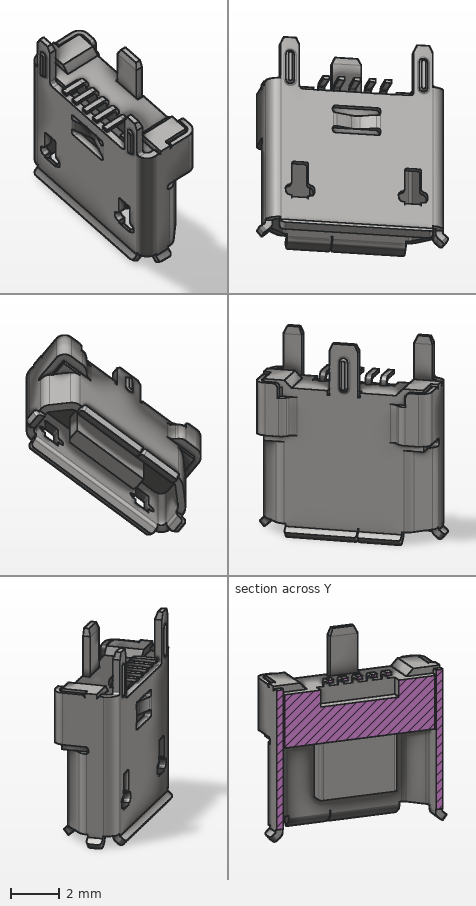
import cadquery as cq
import math


SHEET = 0.31
HALF_WIDTH = 3.75
SHELL_DEPTH = 2.45
BEND_RADIUS = 0.545
SLANT_START_Y = 1.506
SHELL_TOP = 6.06
D_SECTION_TOP = 3.5
FRONT_TOP = 5.63
BACK_TOP = 5.45

EAR_BOTTOM = 3.81
EAR_BACK_Y = 2.785
EAR_FLAT_END_X = 2.53
EAR_RADIUS = 0.45
EAR_INNER_X = 2.75
EAR_TIP_RADIUS = 0.2
RIM_CHAMFER = 0.1
SIDE_SLOT_END_Y = 1.19
SIDE_SLOT_RADIUS = 0.15

TAB_TOP = 7.85
TAB_TAPER_HEIGHT = 0.3
TAB_SIDE_TAPER = 0.14
TAB_FACE_TAPER = 0.09
FRONT_TAB_INNER_X = 2.41
FRONT_TAB_OUTER_X = HALF_WIDTH - BEND_RADIUS
CUTOUT_RADIUS = 0.18
TAB_ROOT_RADIUS = 0.12
BACK_TAB_WIDTH = 1.23

BEAD_BOTTOM = 5.75
BEAD_TOP = 7.35
BEAD_SECTIONS = [(0.51, 0.0), (0.35, 0.02), (0.16, 0.11)]

LIP_REACH = 0.245
LIP_DROP = 0.55
LIP_FLARE = math.radians(50)
FRONT_LIP_WIDTH = 2 * FRONT_TAB_OUTER_X
FRONT_LIP_RADIUS = 0.18
SIDE_LIP_FRONT_Y = 0.57
SIDE_LIP_BACK_Y = 1.232
SIDE_LIP_RADIUS = 0.14
BACK_LIP_HALF_SPAN = 2.5
BACK_LIP_RADIUS = 0.1
SEAM_X = -0.62
SEAM_GAP = 0.04

WINDOW_WIDTH = 2.02
WINDOW_BOTTOM = 3.81
WINDOW_TOP = 5.0
WINDOW_SLOT_HEIGHT = 0.31
WINDOW_SLOT_RADIUS = 0.14
DIMPLE_EDGE_X = 0.985
DIMPLE_RAMP_X = 0.84
DIMPLE_FLAT_X = 0.18
DIMPLE_LEDGE_DEPTH = 0.03
DIMPLE_DEPTH = 0.25
LATCH_X = 2.38
LATCH_WIDTH = 0.69
LATCH_BOTTOM = 0.9
LATCH_TOP = 2.44
LATCH_TOP_RADIUS = 0.1
LATCH_HEAD_WIDTH = 1.22
LATCH_HEAD_BOTTOM = 0.98
LATCH_HEAD_TOP = 1.44
LATCH_HEAD_RADIUS = 0.2
LATCH_NECK_RADIUS = 0.12

PLASTIC_TOP = 5.83
PLASTIC_BOTTOM = D_SECTION_TOP
PLASTIC_CORNER_RADIUS = 0.4
BLOCK_TOP = 6.14
BLOCK_INNER_X = 2.24
BLOCK_FRONT_Y = 0.832
PLUG_BACK_Y = 1.346
PLUG_BOTTOM = 5.96
PIN_POCKET_WIDTH = 3.51
PIN_POCKET_BACK_Y = 0.92
PIN_POCKET_FLOOR = 5.1
TAB_RECESS_WIDTH = 1.4
TAB_RECESS_DEPTH = 0.2
TONGUE_WIDTH = 3.5
TONGUE_FRONT_Y = 0.6
TONGUE_BACK_Y = 1.2
TONGUE_BOTTOM = 1.0
TONGUE_EDGE_RADIUS = 0.15

PIN_COUNT = 5
PIN_PITCH = 0.655
PIN_WIDTH = 0.26
PIN_THICKNESS = 0.14
PIN_TOP = 6.21
PIN_TIP_Y = -0.14
PIN_BEND_RADIUS = 0.15


def block(x_range, y_range, z_range):
    """Axis-aligned box between pairs of limits."""
    size = [r[1] - r[0] for r in (x_range, y_range, z_range)]
    corner = (x_range[0], y_range[0], z_range[0])
    return cq.Workplane().box(*size, centered=False).translate(corner)


def both_sides(body):
    """The body together with its mirror image across the middle."""
    return body.union(body.mirror("YZ"))


def d_section(bottom, top):
    """Outer D-shaped section with 45 degree slants at the back."""
    slant_end_x = HALF_WIDTH - (SHELL_DEPTH - SLANT_START_Y)
    half = [(HALF_WIDTH, 0), (HALF_WIDTH, SLANT_START_Y), (slant_end_x, SHELL_DEPTH)]
    outline = half + [(-x, y) for x, y in reversed(half)]
    solid = cq.Workplane().workplane(offset=bottom).polyline(outline).close().extrude(top - bottom)
    return solid.edges("|Z").fillet(BEND_RADIUS)


def eared_section(bottom, top):
    """Outer section of the upper shell, with the back corners squared out to ears."""
    ear_foot_x = EAR_FLAT_END_X - (EAR_BACK_Y - SHELL_DEPTH)
    half = [
        (HALF_WIDTH, 0),
        (HALF_WIDTH, EAR_BACK_Y),
        (EAR_FLAT_END_X, EAR_BACK_Y),
        (ear_foot_x, SHELL_DEPTH),
    ]
    outline = half + [(-x, y) for x, y in reversed(half)]
    solid = cq.Workplane().workplane(offset=bottom).polyline(outline).close().extrude(top - bottom)
    middle_z = (bottom + top) / 2
    solid = solid.edges("|Z and <Y").fillet(BEND_RADIUS)
    solid = solid.edges("|Z and >Y").fillet(EAR_RADIUS)
    for x in (-ear_foot_x, ear_foot_x):
        foot = cq.selectors.NearestToPointSelector((x, SHELL_DEPTH, middle_z))
        solid = solid.edges("|Z").edges(foot).fillet(EAR_RADIUS)
    return solid


def inside_of(section, height, taper=0):
    """Solid filling the space one sheet thickness inside a section, from its bottom up."""
    outline = section.faces("<Z").wires().toPending().offset2D(-SHEET)
    return outline.extrude(height, combine=False, taper=taper)


def shell_tube():
    """Folded sheet: D section at the mouth, eared section above, slots between them."""
    lower = d_section(0, D_SECTION_TOP)
    upper = eared_section(EAR_BOTTOM, SHELL_TOP)
    middle = d_section(D_SECTION_TOP, EAR_BOTTOM)
    bore = inside_of(lower, D_SECTION_TOP)
    middle_bore = inside_of(middle, EAR_BOTTOM - D_SECTION_TOP)
    upper_bore = inside_of(upper, SHELL_TOP - EAR_BOTTOM)
    tube = lower.cut(bore).union(middle.cut(middle_bore)).union(upper.cut(upper_bore))

    slot = block((BLOCK_INNER_X, HALF_WIDTH), (SIDE_SLOT_END_Y, EAR_BACK_Y), (D_SECTION_TOP, EAR_BOTTOM))
    slot = slot.edges("|X and <Y").fillet(SIDE_SLOT_RADIUS)
    tube = tube.cut(both_sides(slot))

    rim_bevel = inside_of(eared_section(SHELL_TOP - RIM_CHAMFER, SHELL_TOP), RIM_CHAMFER, taper=-45)
    rear_zone = block(
        (-HALF_WIDTH, HALF_WIDTH), (BLOCK_FRONT_Y, EAR_BACK_Y), (SHELL_TOP - RIM_CHAMFER, SHELL_TOP)
    )
    return tube.cut(rim_bevel.intersect(rear_zone))


def back_cutout():
    """Space above the lowered back wall, leaving ears with rounded inner corners."""
    rounded_x = EAR_INNER_X + EAR_TIP_RADIUS
    depth = EAR_BACK_Y - SHELL_DEPTH + SHEET
    return (
        cq.Workplane("XZ", origin=(0, SHELL_DEPTH - SHEET, 0))
        .moveTo(-EAR_INNER_X, BACK_TOP)
        .lineTo(EAR_INNER_X, BACK_TOP)
        .lineTo(EAR_INNER_X, SHELL_TOP - EAR_TIP_RADIUS)
        .radiusArc((rounded_x, SHELL_TOP), EAR_TIP_RADIUS)
        .lineTo(-rounded_x, SHELL_TOP)
        .radiusArc((-EAR_INNER_X, SHELL_TOP - EAR_TIP_RADIUS), EAR_TIP_RADIUS)
        .close()
        .extrude(-depth)
    )


def front_cutout():
    """Space between the two front tabs, reaching down into the front wall."""
    space = block((-FRONT_TAB_INNER_X, FRONT_TAB_INNER_X), (0, SHEET), (FRONT_TOP, SHELL_TOP))
    return space.edges("|Y and <Z").fillet(CUTOUT_RADIUS)


def side_notches():
    """Notches in the top of the side walls, bevelled open along their upper edges."""
    bevel_bottom = SHELL_TOP - RIM_CHAMFER
    outline = [
        (BLOCK_FRONT_Y - RIM_CHAMFER, SHELL_TOP),
        (BLOCK_FRONT_Y, bevel_bottom),
        (PLUG_BACK_Y, bevel_bottom),
        (PLUG_BACK_Y + RIM_CHAMFER, SHELL_TOP),
    ]
    notch = cq.Workplane("YZ").polyline(outline).close().extrude(SHEET)
    return both_sides(notch.translate((HALF_WIDTH - SHEET, 0, 0)))


def solder_tab(width, bottom):
    """Tab standing on Y = 0 with its outer face towards -Y and a tapered tip."""
    shoulder = TAB_TOP - TAB_TAPER_HEIGHT
    half = width / 2
    tip_half = half - TAB_SIDE_TAPER
    face = [
        (-half, bottom),
        (half, bottom),
        (half, shoulder),
        (tip_half, TAB_TOP),
        (-tip_half, TAB_TOP),
        (-half, shoulder),
    ]
    side = [
        (0, bottom),
        (SHEET, bottom),
        (SHEET, shoulder),
        (SHEET - TAB_FACE_TAPER, TAB_TOP),
        (0, TAB_TOP),
    ]
    plate = cq.Workplane("XZ").polyline(face).close().extrude(-SHEET)
    profile = cq.Workplane("YZ").polyline(side).close().extrude(half, both=True)
    return plate.intersect(profile).union(bead())


def bead():
    """Raised oblong bead on the outer face of a tab: a shallow foot, then a steeper crown."""
    base_width = BEAD_SECTIONS[0][0]
    length = BEAD_TOP - BEAD_BOTTOM
    middle_z = (BEAD_TOP + BEAD_BOTTOM) / 2
    steps = []
    for (width, start), (next_width, end) in zip(BEAD_SECTIONS, BEAD_SECTIONS[1:]):
        rise = end - start
        slope = math.degrees(math.atan2((width - next_width) / 2, rise))
        step = (
            cq.Workplane("XZ", origin=(0, -start, middle_z))
            .slot2D(length - (base_width - width), width, 90)
            .extrude(rise, taper=slope)
        )
        steps.append(step)
    foot, crown = steps
    return foot.union(crown)


def front_tabs():
    """Pair of front tabs with a small fillet running into the shell rim beside them."""
    width = FRONT_TAB_OUTER_X - FRONT_TAB_INNER_X
    tab = solder_tab(width, FRONT_TOP).translate((FRONT_TAB_INNER_X + width / 2, 0, 0))
    root = (
        cq.Workplane("XZ", origin=(FRONT_TAB_OUTER_X, 0, SHELL_TOP))
        .lineTo(TAB_ROOT_RADIUS, 0)
        .radiusArc((0, TAB_ROOT_RADIUS), TAB_ROOT_RADIUS)
        .close()
        .extrude(-SHEET)
    )
    return both_sides(tab.union(root))


def back_tab():
    """Single tab on the back wall, facing +Y."""
    tab = solder_tab(BACK_TAB_WIDTH, BACK_TOP)
    return tab.rotate((0, 0, 0), (0, 0, 1), 180).translate((0, SHELL_DEPTH, 0))


def lip(width, corner_radius):
    """Mouth lip centred on X, flaring towards -Y from the outer face Y = 0."""
    outer_tip_z = SHEET * math.sin(LIP_FLARE) - LIP_DROP
    inner_tip_reach = LIP_REACH - SHEET * math.cos(LIP_FLARE)
    outer_bend_z = outer_tip_z + LIP_REACH / math.tan(LIP_FLARE)
    inner_bend_z = (inner_tip_reach + SHEET) / math.tan(LIP_FLARE) - LIP_DROP
    profile = [
        (SHEET, 0),
        (0, 0),
        (0, outer_bend_z),
        (-LIP_REACH, outer_tip_z),
        (-inner_tip_reach, -LIP_DROP),
        (SHEET, inner_bend_z),
    ]
    strip = cq.Workplane("YZ").polyline(profile).close().extrude(width / 2, both=True)
    bend_edge = cq.selectors.NearestToPointSelector((0, SHEET, inner_bend_z))
    strip = strip.edges("|X").edges(bend_edge).fillet(SHEET)
    flare_direction = cq.Vector(0, -math.sin(LIP_FLARE), -math.cos(LIP_FLARE))
    tip_face = cq.selectors.DirectionMinMaxSelector(flare_direction)
    return strip.faces(tip_face).edges("not |X").fillet(corner_radius)


def mouth_lips():
    """Front lip, two side lips and the back lip split by the shell seam."""
    lips = lip(FRONT_LIP_WIDTH, FRONT_LIP_RADIUS)

    side = lip(SIDE_LIP_BACK_Y - SIDE_LIP_FRONT_Y, SIDE_LIP_RADIUS)
    side = side.rotate((0, 0, 0), (0, 0, 1), 90)
    side = side.translate((HALF_WIDTH, (SIDE_LIP_BACK_Y + SIDE_LIP_FRONT_Y) / 2, 0))
    lips = lips.union(both_sides(side))

    seam_left = SEAM_X - SEAM_GAP / 2
    seam_right = SEAM_X + SEAM_GAP / 2
    for start, end in ((-BACK_LIP_HALF_SPAN, seam_left), (seam_right, BACK_LIP_HALF_SPAN)):
        back = lip(end - start, BACK_LIP_RADIUS).rotate((0, 0, 0), (0, 0, 1), 180)
        lips = lips.union(back.translate(((start + end) / 2, SHELL_DEPTH, 0)))
    return lips


def window_cut():
    """Two slots and the sheet strip between them dished into a shallow V."""
    half = WINDOW_WIDTH / 2
    top_slot = block((-half, half), (0, SHEET), (WINDOW_TOP - WINDOW_SLOT_HEIGHT, WINDOW_TOP))
    low_slot = block((-half, half), (0, SHEET), (WINDOW_BOTTOM, WINDOW_BOTTOM + WINDOW_SLOT_HEIGHT))
    slots = top_slot.union(low_slot).edges("|Y").fillet(WINDOW_SLOT_RADIUS)
    dish = (
        cq.Workplane("XY", origin=(0, 0, WINDOW_BOTTOM + WINDOW_SLOT_HEIGHT / 2))
        .moveTo(-DIMPLE_EDGE_X, 0)
        .lineTo(-DIMPLE_RAMP_X, DIMPLE_LEDGE_DEPTH)
        .lineTo(-DIMPLE_FLAT_X, DIMPLE_DEPTH)
        .threePointArc((0, DIMPLE_DEPTH + DIMPLE_LEDGE_DEPTH), (DIMPLE_FLAT_X, DIMPLE_DEPTH))
        .lineTo(DIMPLE_RAMP_X, DIMPLE_LEDGE_DEPTH)
        .lineTo(DIMPLE_EDGE_X, 0)
        .close()
        .extrude(WINDOW_TOP - WINDOW_BOTTOM - WINDOW_SLOT_HEIGHT)
    )
    return slots.union(dish)


def latch_holes():
    """Pair of latch openings: a narrow slot with a wider rounded head near the mouth.

    The lower end of the slot is bevelled 45 degrees down towards the inside.
    """
    left, right = LATCH_X - LATCH_WIDTH / 2, LATCH_X + LATCH_WIDTH / 2
    slot = block((left, right), (0, SHEET), (LATCH_BOTTOM, LATCH_TOP))
    slot = slot.edges("|Y and >Z").fillet(LATCH_TOP_RADIUS)
    head = block(
        (LATCH_X - LATCH_HEAD_WIDTH / 2, LATCH_X + LATCH_HEAD_WIDTH / 2),
        (0, SHEET),
        (LATCH_HEAD_BOTTOM, LATCH_HEAD_TOP),
    )
    opening = slot.union(head.edges("|Y").fillet(LATCH_HEAD_RADIUS))
    for neck_x in (left, right):
        neck = cq.selectors.NearestToPointSelector((neck_x, SHEET / 2, LATCH_HEAD_TOP))
        opening = opening.edges("|Y").edges(neck).fillet(LATCH_NECK_RADIUS)
    bevel = (
        cq.Workplane("YZ", origin=(left, 0, LATCH_BOTTOM))
        .polyline([(0, 0), (SHEET, -SHEET), (SHEET, 0)])
        .close()
        .extrude(LATCH_WIDTH)
    )
    return both_sides(opening.union(bevel))


def insulator():
    """Plastic filling the upper shell, with corner blocks, pin pocket and tongue."""
    inner_x = HALF_WIDTH - SHEET
    core = block((-inner_x, inner_x), (SHEET, SHELL_DEPTH), (PLASTIC_BOTTOM, PLASTIC_TOP))
    core = core.edges("|Z and <Y").fillet(PLASTIC_CORNER_RADIUS)
    ear_fill = inside_of(eared_section(EAR_BOTTOM, PLASTIC_TOP), PLASTIC_TOP - EAR_BOTTOM)
    rear_zone = block((-HALF_WIDTH, HALF_WIDTH), (BLOCK_FRONT_Y, EAR_BACK_Y), (EAR_BOTTOM, PLASTIC_TOP))
    core = core.union(ear_fill.intersect(rear_zone))

    slope_run = BLOCK_TOP - PLASTIC_TOP
    corner_block = (
        cq.Workplane("XZ", origin=(0, BLOCK_FRONT_Y, 0))
        .polyline(
            [
                (BLOCK_INNER_X, PLASTIC_TOP),
                (BLOCK_INNER_X + slope_run, BLOCK_TOP),
                (inner_x, BLOCK_TOP),
                (inner_x, PLASTIC_TOP),
            ]
        )
        .close()
        .extrude(BLOCK_FRONT_Y - SHELL_DEPTH)
    )
    plug = block((inner_x, HALF_WIDTH), (BLOCK_FRONT_Y, PLUG_BACK_Y), (PLUG_BOTTOM, BLOCK_TOP))
    core = core.union(both_sides(corner_block.union(plug)))

    pocket_half = PIN_POCKET_WIDTH / 2
    core = core.cut(
        block((-pocket_half, pocket_half), (SHEET, PIN_POCKET_BACK_Y), (PIN_POCKET_FLOOR, PLASTIC_TOP))
    )
    tongue_half = TONGUE_WIDTH / 2
    tongue = block(
        (-tongue_half, tongue_half), (TONGUE_FRONT_Y, TONGUE_BACK_Y), (TONGUE_BOTTOM, PLASTIC_BOTTOM)
    )
    return core.union(tongue.edges("|Z and <Y").fillet(TONGUE_EDGE_RADIUS))


def tab_recess():
    """Shallow clearance in the plastic around the foot of the back tab."""
    half = TAB_RECESS_WIDTH / 2
    return block(
        (-half, half), (SHELL_DEPTH - SHEET, SHELL_DEPTH), (PLASTIC_TOP - TAB_RECESS_DEPTH, PLASTIC_TOP)
    )


def pins():
    """Row of contact pins rising from the pocket and bent over towards -Y."""
    outer_radius = PIN_BEND_RADIUS + PIN_THICKNESS
    back_y = PIN_POCKET_BACK_Y + PIN_THICKNESS
    under_z = PIN_TOP - PIN_THICKNESS
    pin = (
        cq.Workplane("YZ")
        .moveTo(PIN_TIP_Y, PIN_TOP)
        .lineTo(back_y - outer_radius, PIN_TOP)
        .radiusArc((back_y, PIN_TOP - outer_radius), outer_radius)
        .lineTo(back_y, PIN_POCKET_FLOOR)
        .lineTo(PIN_POCKET_BACK_Y, PIN_POCKET_FLOOR)
        .lineTo(PIN_POCKET_BACK_Y, under_z - PIN_BEND_RADIUS)
        .radiusArc((PIN_POCKET_BACK_Y - PIN_BEND_RADIUS, under_z), -PIN_BEND_RADIUS)
        .lineTo(PIN_TIP_Y, under_z)
        .close()
        .extrude(PIN_WIDTH / 2, both=True)
    )
    first_x = -(PIN_COUNT - 1) / 2 * PIN_PITCH
    row = pin.translate((first_x, 0, 0))
    for index in range(1, PIN_COUNT):
        row = row.union(pin.translate((first_x + index * PIN_PITCH, 0, 0)))
    return row


shell = shell_tube()
shell = shell.cut(back_cutout()).cut(front_cutout()).cut(side_notches())
shell = shell.cut(window_cut()).cut(latch_holes())
shell = shell.union(front_tabs()).union(mouth_lips())

result = shell.union(insulator()).cut(tab_recess()).union(back_tab()).union(pins())